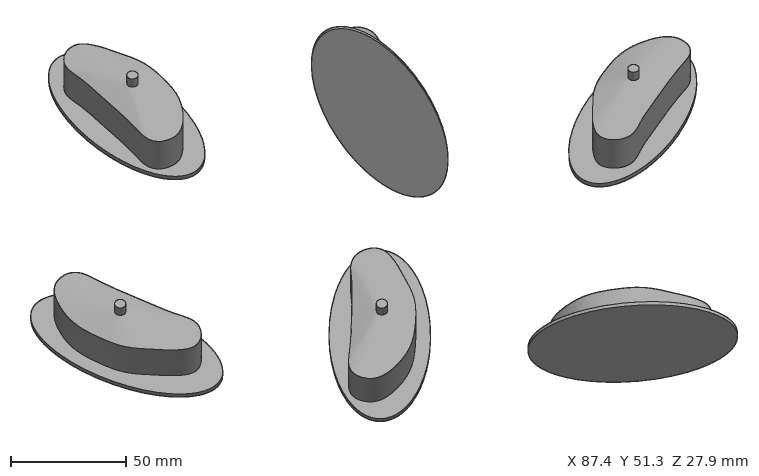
import cadquery as cq

plate_long_radius = 45.65
plate_short_radius = 22.0
plate_turn = 19.2
plate_thickness = 2.1

body_height = 17.0
outline_points = [
    (36.5, 3.5),
    (34.3, 10.9),
    (25.6, 16.35),
    (13.7, 18.7),
    (0.7, 16.6),
    (-11.5, 11.7),
    (-21.4, 3.4),
    (-29.5, -5.1),
    (-31.8, -10.7),
    (-29.0, -17.1),
    (-22.2, -20.2),
    (-12.6, -17.2),
    (2.7, -12.0),
    (16.9, -7.4),
    (26.1, -5.1),
    (33.0, -2.6),
]

roof_height = 3.9
post_x = 2.3
post_y = 1.75
post_radius = 2.45
total_height = 27.9

body_top = plate_thickness + body_height
roof_top = body_top + roof_height
post_height = total_height - roof_top


def make_plate():
    return (
        cq.Workplane("XY")
        .transformed(rotate=(0, 0, plate_turn))
        .ellipse(plate_long_radius, plate_short_radius)
        .extrude(plate_thickness)
    )


def body_outline(base_z):
    return cq.Workplane("XY", origin=(0, 0, base_z)).spline(outline_points, periodic=True).close()


def make_body():
    return body_outline(plate_thickness).extrude(body_height)


def make_roof():
    """Ruled surface from the body outline up to the foot circle of the post."""
    return (
        body_outline(body_top)
        .workplane(offset=roof_height)
        .center(post_x, post_y)
        .circle(post_radius)
        .loft(ruled=True)
    )


def make_post():
    return (
        cq.Workplane("XY", origin=(post_x, post_y, roof_top))
        .circle(post_radius)
        .extrude(post_height)
    )


result = make_plate().union(make_body()).union(make_roof()).union(make_post())